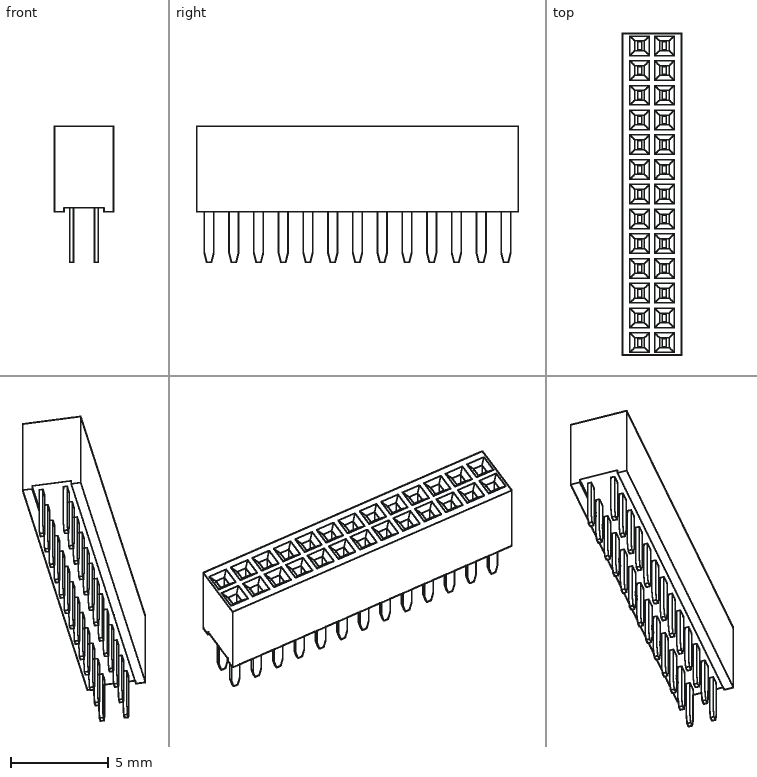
import cadquery as cq

rows = 13
columns = 2
pitch = 1.27

body_width = 3.05
body_length = rows * pitch
body_height = 4.4
foot_width = 0.5
foot_height = 0.2

funnel_mouth = 1.0
well_side = 0.5
funnel_depth = 0.25
well_depth = 3.0

overall_height = 7.0
contact_thickness = 0.2
tail_width = 0.5
tail_tip_width = 0.25
tail_taper_length = 0.5
tail_end_z = body_height - overall_height
blade_width = 0.4
blade_height = 1.0
well_floor_z = body_height - well_depth


def housing():
    """Block with a channel along its underside, leaving a foot on each side."""
    block = cq.Workplane("XY").box(body_width, body_length, body_height, centered=(True, True, False))
    channel_width = body_width - 2 * foot_width
    channel = cq.Workplane("XY").box(channel_width, body_length, foot_height, centered=(True, True, False))
    return block.cut(channel)


def socket():
    """Empty space of one socket, centred on the Z axis."""
    funnel = (
        cq.Workplane("XY", origin=(0, 0, body_height))
        .rect(funnel_mouth, funnel_mouth)
        .workplane(offset=-funnel_depth)
        .rect(well_side, well_side)
        .loft(ruled=True)
    )
    well = (
        cq.Workplane("XY", origin=(0, 0, well_floor_z))
        .rect(well_side, well_side)
        .extrude(well_depth - funnel_depth)
    )
    return funnel.union(well)


def contact():
    """One contact, centred on the Z axis; it passes through the well floor."""
    taper_start_z = tail_end_z + tail_taper_length
    tail = (
        cq.Workplane("YZ", origin=(-contact_thickness / 2, 0, 0))
        .moveTo(-tail_width / 2, well_floor_z)
        .lineTo(-tail_width / 2, taper_start_z)
        .lineTo(-tail_tip_width / 2, tail_end_z)
        .lineTo(tail_tip_width / 2, tail_end_z)
        .lineTo(tail_width / 2, taper_start_z)
        .lineTo(tail_width / 2, well_floor_z)
        .close()
        .extrude(contact_thickness)
    )
    blade = (
        cq.Workplane("XY", origin=(0, 0, well_floor_z))
        .rect(contact_thickness, blade_width)
        .extrude(blade_height)
    )
    return tail.union(blade)


def on_grid(feature):
    """Copies of a feature at every contact position."""
    positions = cq.Workplane("XY").rarray(pitch, pitch, columns, rows)
    return positions.eachpoint(lambda place: feature.val().moved(place))


result = housing().cut(on_grid(socket())).union(on_grid(contact()))